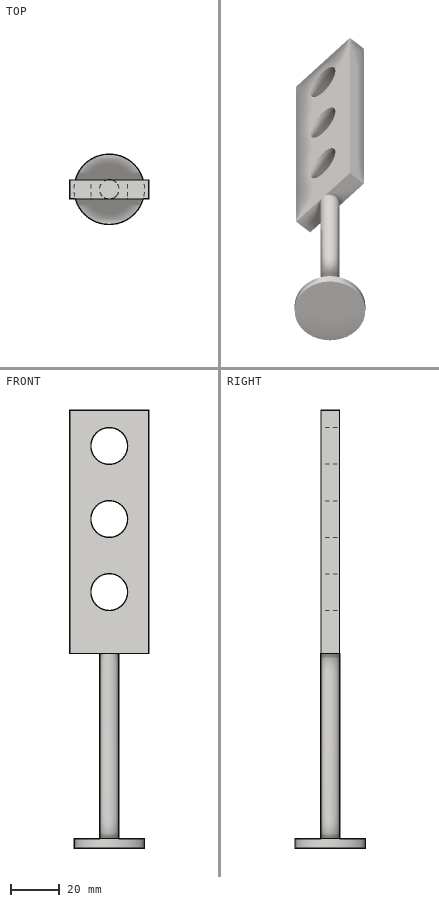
import cadquery as cq

base_diameter = 29.0
base_thickness = 4.0

post_diameter = 8.0
post_length = 76.0

plate_width = 32.63
plate_thickness = 7.8
plate_height = 100.0
plate_bottom = base_thickness + post_length

hole_diameter = 15.0
hole_count = 3
hole_spacing = 30.0
lowest_hole_height = 25.3


def make_base():
    return cq.Workplane("XY").circle(base_diameter / 2).extrude(base_thickness)


def make_post():
    return (
        cq.Workplane("XY")
        .workplane(offset=base_thickness)
        .circle(post_diameter / 2)
        .extrude(post_length)
    )


def make_plate():
    plate = (
        cq.Workplane("XY")
        .workplane(offset=plate_bottom)
        .rect(plate_width, plate_thickness)
        .extrude(plate_height)
    )
    hole_centers = [
        (0, plate_bottom + lowest_hole_height + i * hole_spacing) for i in range(hole_count)
    ]
    holes = (
        cq.Workplane("XZ")
        .pushPoints(hole_centers)
        .circle(hole_diameter / 2)
        .extrude(plate_thickness, both=True)
    )
    return plate.cut(holes)


result = make_base().union(make_post()).union(make_plate())